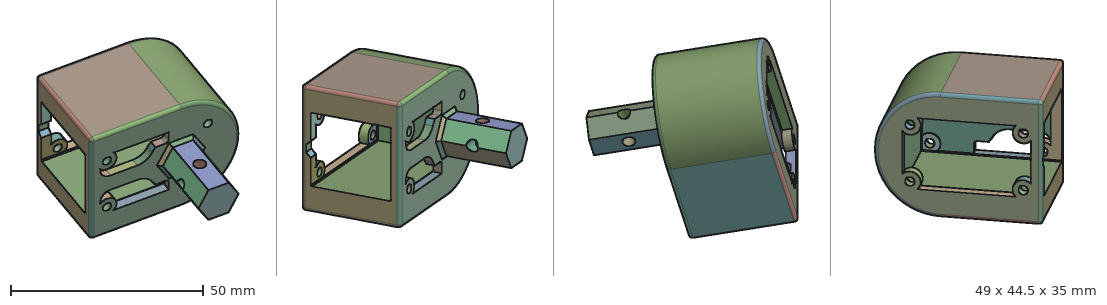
import cadquery as cq
import math

body_length = 29.0
body_height = 35.0
rear_radius = body_height / 2
front_y = -27.0
edge_fillet = 1.0

side_wall = 2.75
front_wall = 3.0
opening_height = 20.0
opening_front_y = front_y + front_wall
opening_rear_y = 10.0
cavity_clearance = 0.25
cavity_chamfer_run = 0.4

notch_depth = 1.35
notch_outer_width = 2.1
notch_inner_width = 4.7

boss_diameter = 5.67
screw_diameter = 2.5
boss_front_y = -22.0
boss_rear_y = 8.0
boss_z = 8.0

web_recess = 0.25
disc_radius = 10.0
strut_half_width = 2.5
strut_disc_fillet = 5.0
strut_end_fillet = 3.0
window_rear_y = -3.6
window_step_z = 6.5
window_corner_fillet = 1.0

shaft_length = 20.0
shaft_radius = 6.0
flare_length = 1.0
flare_radius = shaft_radius + flare_length / math.cos(math.pi / 6)
pin_diameter = 3.4
pin_x = body_length + shaft_length / 2



def block(x_range, y_range, height):
    """Box between two X and two Y positions, centred on Z = 0."""
    x_start, x_end = x_range
    y_start, y_end = y_range
    return (
        cq.Workplane("XY")
        .box(x_end - x_start, y_end - y_start, height, centered=(False, False, True))
        .translate((x_start, y_start, 0))
    )


def make_body():
    """Solid block with a round rear end and every outer edge rounded."""
    profile = (
        cq.Workplane("YZ")
        .moveTo(front_y, -rear_radius)
        .lineTo(0, -rear_radius)
        .threePointArc((rear_radius, 0), (0, rear_radius))
        .lineTo(front_y, rear_radius)
        .close()
    )
    body = profile.extrude(body_length)
    return body.faces("<X or >X or <Y").edges().fillet(edge_fillet)


def make_side_opening():
    """Rectangular opening in the -X wall."""
    return block((0, side_wall), (opening_front_y, opening_rear_y), opening_height)


def make_cavity():
    """Cavity open to the front, flaring slightly from each side wall to its full size."""
    def section(x, clearance):
        rear_y = opening_rear_y + clearance
        half_height = opening_height / 2 + clearance
        return (
            cq.Workplane("YZ", origin=(x, 0, 0))
            .moveTo(front_y, -half_height)
            .lineTo(rear_y, -half_height)
            .lineTo(rear_y, half_height)
            .lineTo(front_y, half_height)
            .close()
            .wires()
            .val()
        )

    def loft(*wires):
        return cq.Workplane(cq.Solid.makeLoft(list(wires), True))

    wall_ends = (side_wall, body_length - side_wall)
    full_ends = (side_wall + cavity_chamfer_run, body_length - side_wall - cavity_chamfer_run)
    cavity = loft(*[section(x, cavity_clearance) for x in full_ends])
    for wall_x, full_x in zip(wall_ends, full_ends):
        cavity = cavity.union(loft(section(wall_x, 0), section(full_x, cavity_clearance)))
    return cavity


def make_cable_notch():
    """Tapered notch through the front wall, on the -X side of the cavity."""
    return (
        cq.Workplane("XZ", origin=(0, front_y, 0))
        .moveTo(side_wall, -notch_inner_width / 2)
        .lineTo(side_wall - notch_depth, -notch_outer_width / 2)
        .lineTo(side_wall - notch_depth, notch_outer_width / 2)
        .lineTo(side_wall, notch_inner_width / 2)
        .close()
        .extrude(-front_wall)
    )


def make_window():
    """Upper window of the shaft wall, bounded by the disc and the strut."""
    top_z = opening_height / 2
    corner_y = window_rear_y - window_corner_fillet
    corner_z = window_step_z + window_corner_fillet
    disc_start_angle = math.pi - math.asin(window_step_z / disc_radius)

    fillet_z = strut_half_width + strut_disc_fillet
    fillet_angle = math.pi - math.asin(fillet_z / (disc_radius + strut_disc_fillet))
    fillet_y = (disc_radius + strut_disc_fillet) * math.cos(fillet_angle)
    contact_angle = fillet_angle + math.pi
    straight_down = 1.5 * math.pi
    fillet_mid_angle = (contact_angle + straight_down) / 2
    disc_mid_angle = (disc_start_angle + fillet_angle) / 2

    end_y = opening_front_y + strut_end_fillet
    end_z = strut_half_width + strut_end_fillet

    def on_circle(center_y, center_z, radius, angle):
        return (center_y + radius * math.cos(angle), center_z + radius * math.sin(angle))

    return (
        cq.Workplane("YZ", origin=(body_length - side_wall, 0, 0))
        .moveTo(window_rear_y, top_z)
        .lineTo(window_rear_y, corner_z)
        .threePointArc(
            on_circle(corner_y, corner_z, window_corner_fillet, -math.pi / 4),
            (corner_y, window_step_z),
        )
        .lineTo(*on_circle(0, 0, disc_radius, disc_start_angle))
        .threePointArc(
            on_circle(0, 0, disc_radius, disc_mid_angle),
            on_circle(0, 0, disc_radius, fillet_angle),
        )
        .threePointArc(
            on_circle(fillet_y, fillet_z, strut_disc_fillet, fillet_mid_angle),
            (fillet_y, strut_half_width),
        )
        .lineTo(end_y, strut_half_width)
        .threePointArc(
            on_circle(end_y, end_z, strut_end_fillet, -3 * math.pi / 4),
            (opening_front_y, end_z),
        )
        .lineTo(opening_front_y, top_z)
        .close()
        .extrude(side_wall)
    )


def make_web_recess():
    """Shallow recess that sets the disc and strut back from the wall's inner face."""
    inner_x = body_length - side_wall
    return block((inner_x, inner_x + web_recess), (opening_front_y, opening_rear_y), opening_height)


def screw_cylinders(diameter, x_start, length):
    """One cylinder along X at each screw position."""
    positions = [(y, z) for y in (boss_front_y, boss_rear_y) for z in (-boss_z, boss_z)]
    return (
        cq.Workplane("YZ", origin=(x_start, 0, 0))
        .pushPoints(positions)
        .circle(diameter / 2)
        .extrude(length)
    )


def make_shaft():
    """Hexagonal shaft with a flared root and a cross of two pin holes."""
    def hexagon(x, radius):
        return cq.Workplane("YZ", origin=(x, 0, 0)).polygon(6, 2 * radius)

    shaft = hexagon(body_length, shaft_radius).extrude(shaft_length)
    flare = (
        hexagon(body_length, flare_radius)
        .workplane(offset=flare_length)
        .polygon(6, 2 * shaft_radius)
        .loft(ruled=True)
    )
    pin = cq.Workplane("XY").circle(pin_diameter / 2).extrude(2 * shaft_radius, both=True)
    shaft = shaft.union(flare)
    for turn in (0, 90):
        shaft = shaft.cut(pin.rotate((0, 0, 0), (1, 0, 0), turn).translate((pin_x, 0, 0)))
    return shaft


def make_part():
    window = make_window()
    part = make_body()
    part = part.cut(make_side_opening()).cut(make_cavity()).cut(make_cable_notch())
    part = part.cut(make_web_recess())
    part = part.cut(window).cut(window.mirror("XY"))
    for wall_x in (0, body_length - side_wall):
        part = part.union(screw_cylinders(boss_diameter, wall_x, side_wall))
    part = part.cut(screw_cylinders(screw_diameter, 0, body_length))
    return part.union(make_shaft())


result = make_part()